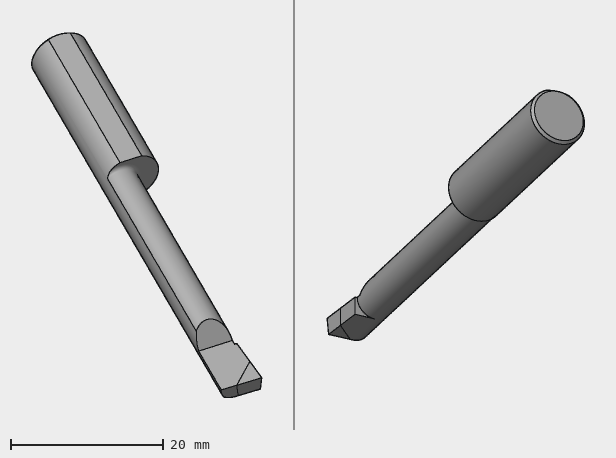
import cadquery as cq
import math

total_length = 63.5
shank_radius = 3.97
shank_length = 24.15
shank_flat_height = 3.65
shank_chamfer = 0.4

neck_diameter = 5.15
neck_radius = neck_diameter / 2
neck_center_y = -1.7
root_fillet = 0.6

rake_face_start = 55.9

end_relief_angle = 8.0
end_relief = neck_radius * math.tan(math.radians(end_relief_angle))

flare_start = 56.6
flare_angle = 5.0
corner_y = 1.8
end_trim = 0.1
flare_start_y = corner_y - (total_length - flare_start) * math.tan(math.radians(flare_angle))

tip_length = 3.3
tip_end_y = -1.8


def front_edge_x(y):
    """X of the front edge, which leans back from the corner to the -Y side."""
    return total_length - end_trim * (corner_y - y) / (corner_y + shank_radius)


def flat_prism(points):
    """Prism below the rake face, as deep as the neck."""
    return cq.Workplane("XY").polyline(points).close().extrude(-neck_radius)


def make_shank():
    shank = cq.Workplane("YZ").circle(shank_radius).extrude(shank_length)
    shank = shank.faces("<X").chamfer(shank_chamfer)
    flat_cut = cq.Workplane("XY", origin=(0, 0, shank_flat_height)).rect(
        2 * total_length, 4 * shank_radius).extrude(shank_radius)
    return shank.cut(flat_cut)


def make_neck():
    """Round neck with a concave flare at its root, trimmed to the shank radius."""
    root_x = shank_length
    blend = root_fillet * (1 - math.sqrt(0.5))
    profile = (
        cq.Workplane("XY")
        .moveTo(root_x, neck_center_y)
        .lineTo(root_x, neck_center_y + neck_radius + root_fillet)
        .threePointArc(
            (root_x + blend, neck_center_y + neck_radius + blend),
            (root_x + root_fillet, neck_center_y + neck_radius),
        )
        .lineTo(total_length, neck_center_y + neck_radius)
        .lineTo(total_length, neck_center_y)
        .close()
    )
    neck = profile.revolve(360, (0, neck_center_y, 0), (1, neck_center_y, 0))
    envelope = cq.Workplane("YZ").circle(shank_radius).extrude(total_length)
    return neck.intersect(envelope)


def make_ramp_cut():
    """Space above the ramp and the rake face."""
    clear_height = 2 * neck_radius
    return (
        cq.Workplane("XZ")
        .polyline([
            (rake_face_start, 0),
            (total_length + clear_height, 0),
            (total_length + clear_height, clear_height),
            (rake_face_start - clear_height, clear_height),
        ])
        .close()
        .extrude(2 * shank_radius, both=True)
    )


def make_flare():
    return flat_prism([
        (flare_start, neck_center_y),
        (front_edge_x(neck_center_y), neck_center_y),
        (total_length, corner_y),
        (flare_start, flare_start_y),
    ])


def make_end_cut():
    """Space in front of the end face, which slopes back below the rake face."""
    reach = 2 * shank_radius
    bottom = cq.Workplane("XY", origin=(0, 0, -neck_radius))
    top_edge = [
        (total_length, corner_y),
        (front_edge_x(-shank_radius), -shank_radius),
        (total_length + reach, -shank_radius),
        (total_length + reach, corner_y),
    ]
    bottom_edge = [
        (top_edge[0][0] - end_relief, corner_y),
        (top_edge[1][0] - end_relief, -shank_radius),
        top_edge[2],
        top_edge[3],
    ]
    return (
        bottom.polyline(bottom_edge).close()
        .workplane(offset=neck_radius)
        .polyline(top_edge).close()
        .loft(ruled=True)
    )


def make_tip_zone():
    tip_start_x = total_length - tip_length
    tip_start_y = corner_y - tip_length * math.tan(math.radians(flare_angle))
    return flat_prism([
        (tip_start_x, tip_start_y),
        (front_edge_x(tip_end_y), tip_end_y),
        (total_length, corner_y),
    ])


blank = make_shank().union(make_neck()).cut(make_ramp_cut()).union(make_flare()).cut(make_end_cut())
tip_zone = make_tip_zone()
holder = blank.cut(tip_zone)
cutting_tip = blank.intersect(tip_zone)

result = cq.Compound.makeCompound([*holder.solids().vals(), *cutting_tip.solids().vals()])